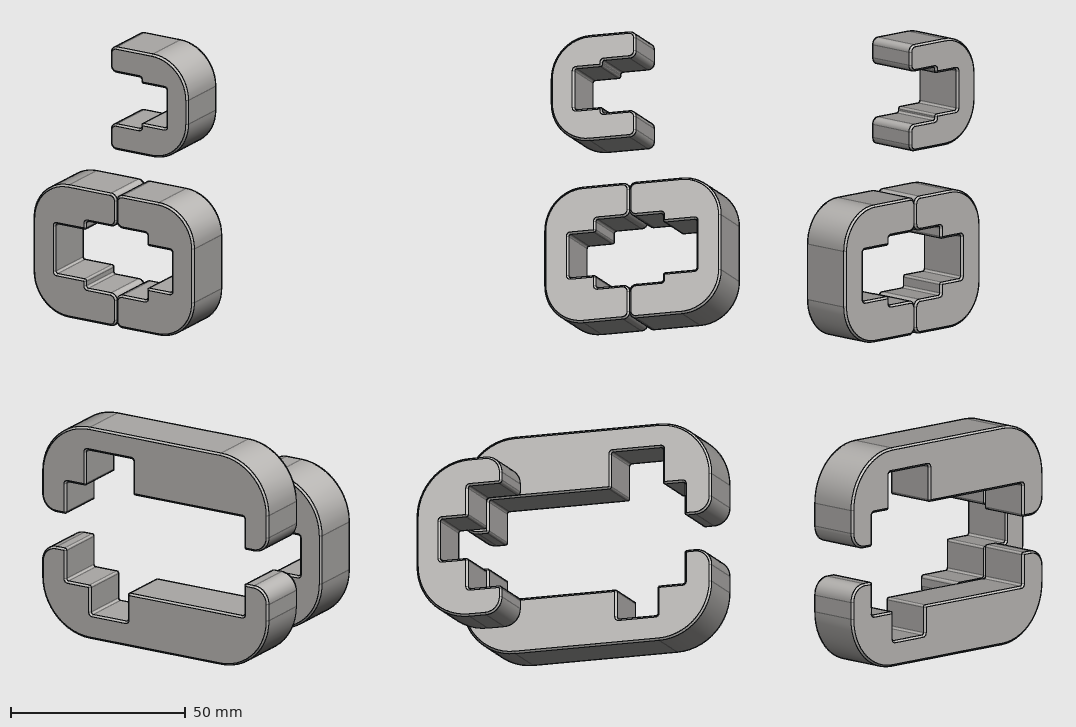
import cadquery as cq


TOTAL_HEIGHT = 180.2
DEPTH = 16.0
EDGE_CHAMFER = 0.58
CLIP_WIDTH = 26.0
CLIP_BACK = 7.2
STEP_DEPTH = 10.3
SMALL_RADIUS = 11.9
CORNER_ROUND = 0.65
LARGE_RADIUS = 16.0
LARGE_ARM_ROUND = 4.9

COUPLER_HEIGHT = 40.0
COUPLER_BACK = 7.4
COUPLER_MOUTH = 20.2
COUPLER_CENTER_Z = 115.7
COUPLER_ARM_ROUND = 2.0
LEFT_CLIP_WIDTH = 28.0
LEFT_CLIP_CHANNEL = 15.0
RIGHT_CLIP_CHANNEL = 12.8

TOP_CLIP_HEIGHT = 31.0
TOP_CLIP_MOUTH = 15.5
TOP_CLIP_CHANNEL = 12.0
TOP_CLIP_ARM_ROUND = 2.0
TOP_CLIP_X = -2.0
TOP_CLIP_CENTER_Z = TOTAL_HEIGHT - TOP_CLIP_HEIGHT / 2

REAR_CLIP_HEIGHT = 46.5
REAR_CLIP_MOUTH = 30.3
REAR_CLIP_CHANNEL = 12.3
REAR_CLIP_INNER_ROUND = 0.9
REAR_CLIP_X = 33.0
REAR_CLIP_CENTER_Z = 31.2

FRAME_LEFT = -25.0
FRAME_WIDTH = 76.0
FRAME_WALL = 8.1
FRAME_TOP_Z = 63.8
LOWER_HEIGHT = 25.8
LOWER_WEB = 16.0
LOWER_NOTCH_START = 16.4
LOWER_NOTCH_WIDTH = 12.5
LOWER_NOTCH_FLOOR = 7.4
UPPER_HEIGHT = 27.5
UPPER_WEB = 17.8
UPPER_NOTCH_START = 14.8
UPPER_NOTCH_WIDTH = 15.9
UPPER_NOTCH_FLOOR = 7.0

TOLERANCE = 0.02


def extrude_outline(points):
    """Solid with the given (x, z) outline, from Y = 0 back to Y = DEPTH."""
    return cq.Workplane("XZ").polyline(points).close().extrude(-DEPTH)


def round_corners(body, corners, radius):
    """Round the edges along Y that stand on the given (x, z) corners."""
    for x, z in corners:
        low = (x - TOLERANCE, -TOLERANCE, z - TOLERANCE)
        high = (x + TOLERANCE, DEPTH + TOLERANCE, z + TOLERANCE)
        body = body.edges(cq.selectors.BoxSelector(low, high)).edges("|Y").fillet(radius)
    return body


def bevel_faces(body):
    """Chamfer all edges of the front and back faces."""
    return body.faces("<Y or >Y").chamfer(EDGE_CHAMFER)


def c_clip(width, height, mouth, channel, back, corner_radius, outer_round, inner_round):
    """C-clip opening toward -X, with its arm ends at X = 0 and its slot centered on Z = 0."""
    top = height / 2
    slot = mouth / 2
    inner = channel / 2
    wall = width - back
    upper_half = [
        (wall, inner),
        (STEP_DEPTH, inner),
        (STEP_DEPTH, slot),
        (0, slot),
        (0, top),
        (width, top),
    ]
    lower_half = [(x, -z) for x, z in reversed(upper_half)]
    body = extrude_outline(upper_half + lower_half)
    body = round_corners(body, [(width, top), (width, -top)], corner_radius)
    body = round_corners(body, [(0, top), (0, -top)], outer_round)
    body = round_corners(body, [(0, slot), (0, -slot)], inner_round)
    body = round_corners(body, [(STEP_DEPTH, inner), (STEP_DEPTH, -inner)], CORNER_ROUND)
    body = round_corners(body, [(STEP_DEPTH, slot), (STEP_DEPTH, -slot)], CORNER_ROUND)
    body = round_corners(body, [(wall, inner), (wall, -inner)], CORNER_ROUND)
    return bevel_faces(body)


def frame_half(height, web, notch_start, notch_width, notch_floor):
    """U-shaped half frame opening toward +Z, with its lower left corner at the origin."""
    right = FRAME_WIDTH
    notch_end = notch_start + notch_width
    inner_corners = [
        (right - FRAME_WALL, height),
        (right - FRAME_WALL, web),
        (notch_end, web),
        (notch_end, notch_floor),
        (notch_start, notch_floor),
        (notch_start, web),
        (FRAME_WALL, web),
        (FRAME_WALL, height),
    ]
    body = extrude_outline([(0, height), (0, 0), (right, 0), (right, height)] + inner_corners)
    body = round_corners(body, [(0, 0), (right, 0)], LARGE_RADIUS)
    body = round_corners(body, [(0, height), (right, height)], LARGE_ARM_ROUND)
    body = round_corners(body, inner_corners, CORNER_ROUND)
    return bevel_faces(body)


def left_coupler_clip():
    clip = c_clip(LEFT_CLIP_WIDTH, COUPLER_HEIGHT, COUPLER_MOUTH, LEFT_CLIP_CHANNEL, COUPLER_BACK,
                  SMALL_RADIUS, COUPLER_ARM_ROUND, COUPLER_ARM_ROUND)
    return clip.mirror("YZ").translate((0, 0, COUPLER_CENTER_Z))


def right_coupler_clip():
    clip = c_clip(CLIP_WIDTH, COUPLER_HEIGHT, COUPLER_MOUTH, RIGHT_CLIP_CHANNEL, COUPLER_BACK,
                  SMALL_RADIUS, COUPLER_ARM_ROUND, COUPLER_ARM_ROUND)
    return clip.translate((0, 0, COUPLER_CENTER_Z))


def top_clip():
    clip = c_clip(CLIP_WIDTH, TOP_CLIP_HEIGHT, TOP_CLIP_MOUTH, TOP_CLIP_CHANNEL, CLIP_BACK,
                  SMALL_RADIUS, TOP_CLIP_ARM_ROUND, TOP_CLIP_ARM_ROUND)
    return clip.translate((TOP_CLIP_X, 0, TOP_CLIP_CENTER_Z))


def rear_clip():
    clip = c_clip(CLIP_WIDTH, REAR_CLIP_HEIGHT, REAR_CLIP_MOUTH, REAR_CLIP_CHANNEL, CLIP_BACK,
                  LARGE_RADIUS, LARGE_ARM_ROUND, REAR_CLIP_INNER_ROUND)
    return clip.translate((REAR_CLIP_X, DEPTH, REAR_CLIP_CENTER_Z))


def lower_frame():
    half = frame_half(LOWER_HEIGHT, LOWER_WEB, LOWER_NOTCH_START, LOWER_NOTCH_WIDTH, LOWER_NOTCH_FLOOR)
    return half.translate((FRAME_LEFT, 0, 0))


def upper_frame():
    half = frame_half(UPPER_HEIGHT, UPPER_WEB, UPPER_NOTCH_START, UPPER_NOTCH_WIDTH, UPPER_NOTCH_FLOOR)
    return half.mirror("XY").translate((FRAME_LEFT, 0, FRAME_TOP_Z))


result = cq.Compound.makeCompound([
    left_coupler_clip().val(),
    right_coupler_clip().val(),
    top_clip().val(),
    rear_clip().val(),
    lower_frame().val(),
    upper_frame().val(),
])